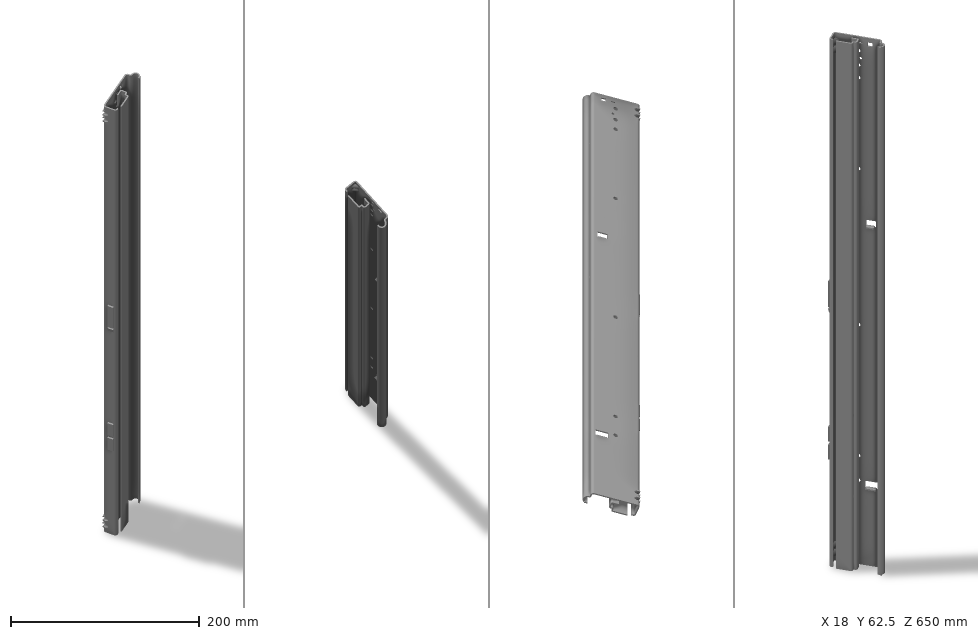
import cadquery as cq
import math

total_length = 650.0
total_width = 62.5
total_depth = 18.0

sheet = 1.55
bend = 2.5
tight_bend = 1.0
lip_bend = 2.0
crest_left = -3.0
lip_right = 7.0
half_sheet = sheet / 2

wall_x = -total_depth / 2
rail_crest_y = total_width / 2
rail_crest_radius = (lip_right - crest_left - sheet) / 2
pad_height = 2.0
rail_base_y = -total_width / 2 + pad_height
crest_lip_end = 25.0
base_lip_end = -25.0
foot_drop = 2.0
foot_size = 1.0
foot_left = 4.5
foot_front = 28.0
rail_top_z = total_length / 2
rail_bottom_z = -total_length / 2 + foot_drop
rail_length = rail_top_z - rail_bottom_z

hook_crest_y = 1.0
hook_crest_right = 5.0
hook_arm_x = total_depth / 2
hook_end_y = -21.0
hook_leg_depth = 8.5
hook_jog_y = -2.5

hole_y = -1.6
hole_diameter = 5.0
hole_heights = [307.5, 290.0, 274.0, 162.5, -29.0, -190.0, -220.5]

square_hole = (12.0, 317.0, 5.0, 4.5)
slit_hole = (1.0, 317.0, 4.5, 1.0)
pilot_y = 1.0
pilot_z = 298.5
pilot_diameter = 3.0

windows = [(13.0, 97.5, 11.0, 8.0), (13.5, -223.5, 14.0, 8.5)]
tongue_end_x = -3.0
tongue_side_gap = 1.0

gusset_radius = 2.5
gusset_depth = 2.0
gusset_pitch = 10.0
gusset_inset = 15.0

pad_left = -2.5
pad_right = 4.0
long_pad_top = 25.5
long_pad_bottom = -6.5
ramp_top = -8.5
ramp_bottom = -13.0
ramp_end_height = 1.0
pad_spans = [(long_pad_bottom, long_pad_top), (-171.5, -153.5), (-194.0, -175.5)]


def bent_strip(path, bottom_z, length):
    """Sheet-metal strip whose cross-section follows the given centre line."""
    start = path.val().positionAt(0)
    section = cq.Plane(origin=start, xDir=(0, 0, 1), normal=path.val().tangentAt(0))
    strip = cq.Workplane(section).rect(length, sheet).sweep(path)
    return strip.translate((0, 0, bottom_z + length / 2))


def block(x_span, y_span, z_span):
    """Box between the given limits on each axis."""
    lows, highs = zip(x_span, y_span, z_span)
    sizes = [high - low for low, high in zip(lows, highs)]
    return cq.Workplane("XY").box(*sizes, centered=False).translate(lows)


def wall_cut(y, z):
    """Workplane outside the back wall, with its origin at the given Y and Z."""
    return cq.Workplane("YZ", origin=(wall_x - sheet, y, z))


def rail_sheet():
    lip_x = lip_right - half_sheet
    crest_x = crest_left + half_sheet
    wall_mid_x = wall_x + half_sheet
    base_y = rail_base_y + half_sheet
    crest_y = rail_crest_y - half_sheet
    crest_start_y = crest_y - rail_crest_radius
    step_y = crest_start_y - tight_bend
    path = (
        cq.Workplane("XY")
        .moveTo(lip_x, crest_lip_end)
        .lineTo(lip_x, crest_start_y)
        .threePointArc((crest_x + rail_crest_radius, crest_y), (crest_x, crest_start_y))
        .tangentArcPoint((-tight_bend, -tight_bend))
        .lineTo(wall_mid_x + bend, step_y)
        .tangentArcPoint((-bend, -bend))
        .lineTo(wall_mid_x, base_y + bend)
        .tangentArcPoint((bend, -bend))
        .lineTo(lip_x - lip_bend, base_y)
        .tangentArcPoint((lip_bend, lip_bend))
        .lineTo(lip_x, base_lip_end)
        .wire()
    )
    return bent_strip(path, rail_bottom_z, rail_length)


def wall_openings():
    depth = 3 * sheet
    cuts = wall_cut(pilot_y, pilot_z).circle(pilot_diameter / 2).extrude(depth)
    for z in hole_heights:
        cuts = cuts.union(wall_cut(hole_y, z).circle(hole_diameter / 2).extrude(depth))
    for y, z, width, height in (square_hole, slit_hole):
        cuts = cuts.union(wall_cut(y, z).rect(width, height).extrude(depth))
    for y, z, width, height in windows:
        cuts = cuts.union(wall_cut(y, z).rect(width, height).extrude(depth))
    return cuts


def corner_ribs(radius):
    """Short cylinders lying diagonally across the inside of the front corner, one at each gusset."""
    reach = math.sqrt(2) * (gusset_depth + radius)
    offset = gusset_depth / math.sqrt(2)
    axis_point = (wall_x + offset, rail_base_y + offset, 0)
    across = cq.Plane(origin=axis_point, xDir=(0, 0, 1), normal=(1, -1, 0))
    cylinder = cq.Workplane(across).circle(radius).extrude(reach, both=True)
    corner = block((wall_x, wall_x + reach), (rail_base_y, rail_base_y + reach), (-radius, radius))
    rib = cylinder.intersect(corner)
    ribs = cq.Workplane("XY")
    for pair_center in (rail_top_z - gusset_inset, rail_bottom_z + gusset_inset):
        for side in (-1, 1):
            ribs = ribs.union(rib.translate((0, 0, pair_center + side * gusset_pitch / 2)))
    return ribs


def window_tongue(y, z, width, height):
    bottom = z - height / 2
    half_width = width / 2 - tongue_side_gap
    x_span = (wall_x + half_sheet, tongue_end_x)
    return block(x_span, (y - half_width, y + half_width), (bottom, bottom + sheet))


def pad_ramp():
    """Wedge below the long pad that slopes back to the flange."""
    outline = [
        (rail_base_y, ramp_top),
        (rail_base_y - pad_height, ramp_top),
        (rail_base_y - ramp_end_height, ramp_bottom),
        (rail_base_y, ramp_bottom),
    ]
    side = cq.Workplane("YZ", origin=(pad_left, 0, 0))
    return side.polyline(outline).close().extrude(pad_right - pad_left)


def make_rail():
    gusset_backs = corner_ribs(gusset_radius + sheet)
    gusset_dents = corner_ribs(gusset_radius)
    rail = rail_sheet().union(gusset_backs).cut(gusset_dents).cut(wall_openings())
    for window in windows:
        rail = rail.union(window_tongue(*window))
    rail = rail.union(pad_ramp())
    for z_span in pad_spans:
        rail = rail.union(block((pad_left, pad_right), (rail_base_y - pad_height, rail_base_y), z_span))
    foot_x = (foot_left, foot_left + foot_size)
    foot_y = (foot_front, foot_front + foot_size)
    foot = block(foot_x, foot_y, (-total_length / 2, rail_bottom_z))
    return rail.union(foot).solids()


def make_hook():
    leg_x = crest_left + half_sheet
    crest_y = hook_crest_y - half_sheet
    side_x = hook_crest_right - half_sheet
    step_y = hook_jog_y - half_sheet
    arm_x = hook_arm_x - half_sheet
    path = (
        cq.Workplane("XY")
        .moveTo(leg_x, hook_crest_y - hook_leg_depth)
        .lineTo(leg_x, crest_y - tight_bend)
        .tangentArcPoint((tight_bend, tight_bend))
        .lineTo(side_x - tight_bend, crest_y)
        .tangentArcPoint((tight_bend, -tight_bend))
        .lineTo(side_x, step_y + tight_bend)
        .tangentArcPoint((tight_bend, -tight_bend))
        .lineTo(arm_x - tight_bend, step_y)
        .tangentArcPoint((tight_bend, -tight_bend))
        .lineTo(arm_x, hook_end_y)
        .wire()
    )
    return bent_strip(path, rail_bottom_z, rail_length)


rail = make_rail()
hook = make_hook()
result = cq.Compound.makeCompound([rail.val(), hook.val()])